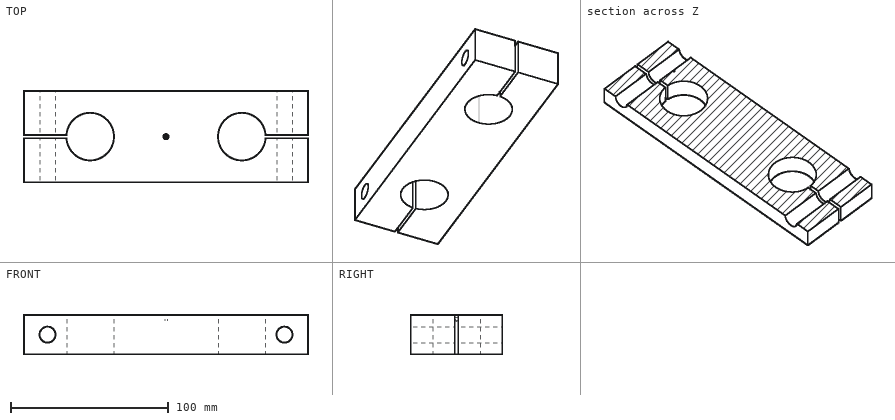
import cadquery as cq
import math

length = 180.0
width = 58.0
height = 25.0

bore_diameter = 30.0
bore_spacing = 96.0

slit_width = 2.0

screw_hole_diameter = 10.0
screw_hole_spacing = 150.0

countersink_diameter = 3.35
countersink_angle = 60.0
pilot_diameter = 1.6
pilot_depth = 3.5
pilot_tip_angle = 120.0


def cone_height(radius_change, included_angle):
    return radius_change / math.tan(math.radians(included_angle / 2))


def make_block():
    return cq.Workplane("XY").box(length, width, height)


def mirrored_points(spacing):
    return [(-spacing / 2, 0), (spacing / 2, 0)]


def make_rod_bores():
    return (
        cq.Workplane("XY")
        .pushPoints(mirrored_points(bore_spacing))
        .circle(bore_diameter / 2)
        .extrude(height / 2, both=True)
    )


def make_slits():
    """Slots running from each bore axis to the nearest end face."""
    slit_length = (length - bore_spacing) / 2
    slit_spacing = (length + bore_spacing) / 2
    return (
        cq.Workplane("XY")
        .pushPoints(mirrored_points(slit_spacing))
        .rect(slit_length, slit_width)
        .extrude(height / 2, both=True)
    )


def make_screw_holes():
    return (
        cq.Workplane("XZ")
        .pushPoints(mirrored_points(screw_hole_spacing))
        .circle(screw_hole_diameter / 2)
        .extrude(width / 2, both=True)
    )


def make_center_hole():
    """Countersink, pilot and conical tip, revolved about the vertical axis."""
    mouth_radius = countersink_diameter / 2
    pilot_radius = pilot_diameter / 2
    top = height / 2
    countersink_bottom = top - cone_height(mouth_radius - pilot_radius, countersink_angle)
    pilot_bottom = top - pilot_depth
    tip = pilot_bottom - cone_height(pilot_radius, pilot_tip_angle)
    return (
        cq.Workplane("XZ")
        .moveTo(0, top)
        .lineTo(mouth_radius, top)
        .lineTo(pilot_radius, countersink_bottom)
        .lineTo(pilot_radius, pilot_bottom)
        .lineTo(0, tip)
        .close()
        .revolve(360, (0, 0), (0, 1))
    )


result = (
    make_block()
    .cut(make_rod_bores())
    .cut(make_slits())
    .cut(make_screw_holes())
    .cut(make_center_hole())
)